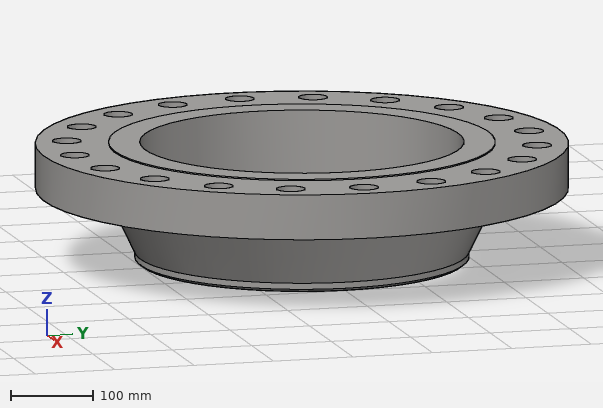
import cadquery as cq
import math


overall_height = 146.05
flange_diameter = 647.7
flange_thickness = 57.15
raised_face_diameter = 469.9
raised_face_height = 1.6

bolt_circle_diameter = 571.5
bolt_hole_diameter = 34.925
bolt_hole_count = 20

bore_diameter = 393.7
hub_large_diameter = 482.6
hub_small_diameter = 406.4
hub_fillet_radius = 12.7
weld_neck_height = 11.1

bevel_angle = 37.5
root_land_width = 1.6

bore_radius = bore_diameter / 2
hub_small_radius = hub_small_diameter / 2
flange_back_z = overall_height - flange_thickness
flange_front_z = overall_height - raised_face_height
bevel_width = hub_small_radius - bore_radius - root_land_width
bevel_height = bevel_width * math.tan(math.radians(bevel_angle))


def flange_body():
    """Revolve the half section of ring, raised face and hub about Z."""
    section = [
        (bore_radius, 0),
        (bore_radius + root_land_width, 0),
        (hub_small_radius, bevel_height),
        (hub_small_radius, weld_neck_height),
        (hub_large_diameter / 2, flange_back_z),
        (flange_diameter / 2, flange_back_z),
        (flange_diameter / 2, flange_front_z),
        (raised_face_diameter / 2, flange_front_z),
        (raised_face_diameter / 2, overall_height),
        (bore_radius, overall_height),
    ]
    return cq.Workplane("XZ").polyline(section).close().revolve(360, (0, 0), (0, 1))


def round_hub_root(body):
    """Fillet the circle where the hub cone runs into the flange back."""
    root_reach = hub_large_diameter / 2 + hub_fillet_radius
    root_zone = cq.selectors.BoxSelector(
        (-root_reach, -root_reach, flange_back_z - hub_fillet_radius),
        (root_reach, root_reach, flange_back_z + hub_fillet_radius),
        boundingbox=True,
    )
    root_edge = body.edges("%CIRCLE").edges(root_zone)
    return root_edge.fillet(hub_fillet_radius)


def bolt_holes():
    """Cutters for the bolt holes, the first one on the +X axis."""
    return (
        cq.Workplane("XY", origin=(0, 0, flange_back_z))
        .polarArray(bolt_circle_diameter / 2, 0, 360, bolt_hole_count)
        .circle(bolt_hole_diameter / 2)
        .extrude(flange_thickness)
    )


result = round_hub_root(flange_body()).cut(bolt_holes())